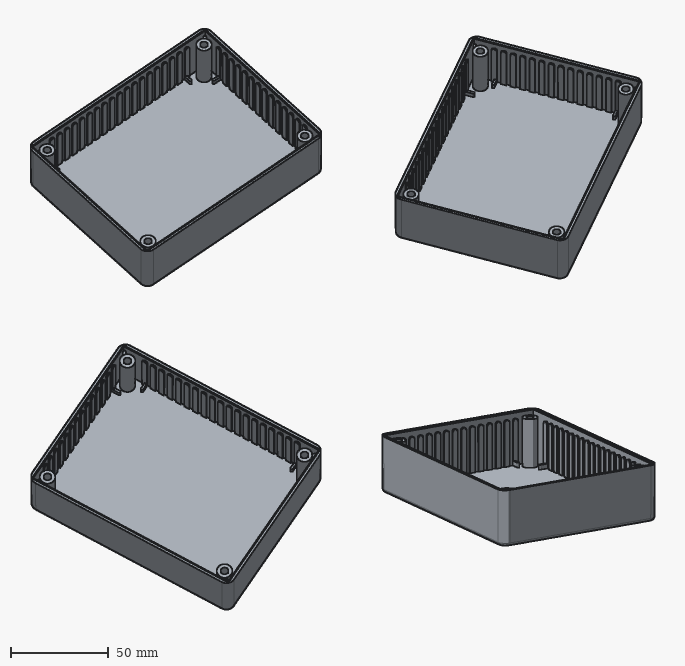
import cadquery as cq
import math

length_x = 93.6
length_y = 120.5
height = 30.0
corner_radius = 4.5
bottom_fillet = 1.9
draft_angle = 0.25

rim_wall = 1.6
rim_step_depth = 0.4
wall_thickness = 2.0
floor_thickness = 1.8

post_diameter = 8.0
post_hole_diameter = 4.0
post_inset = 7.4
post_top = height - 2.3
post_x = length_x / 2 - post_inset
post_y = length_y / 2 - post_inset
gusset_width = 1.7
gusset_top = post_top - 1.7

rib_width = 3.0
rib_top = height - 3.4
rib_face_inset = 2.9
rib_root_inset = 1.2
x_rib_count = 14
x_rib_pitch = 5.2
y_rib_count = 19
y_rib_pitch = 5.1

tab_width = 1.3
tab_height = 2.5
tab_end_inset = 7.1


def drafted_block(inset):
    """Full-height block, inset from the outer walls and narrowing downward by the draft angle."""
    return (
        cq.Workplane("XY", origin=(0, 0, height))
        .rect(length_x - 2 * inset, length_y - 2 * inset)
        .extrude(-height, taper=draft_angle)
    )


def arched_wall(width, start, end, top_z):
    """Upright wall with a half-round top, running along +Y from start to end."""
    radius = width / 2
    spring_z = top_z - radius
    return (
        cq.Workplane("XZ", origin=(0, start, 0))
        .moveTo(-radius, 0)
        .lineTo(-radius, spring_z)
        .threePointArc((0, top_z), (radius, spring_z))
        .lineTo(radius, 0)
        .close()
        .extrude(start - end)
    )


def floor_tab(outer_face):
    """Low tab running inward along Y from the wall, with a rounded free end."""
    radius = tab_width / 2
    root_y = outer_face - rib_root_inset
    arc_y = outer_face - tab_end_inset + radius
    return (
        cq.Workplane("XY")
        .moveTo(-radius, root_y)
        .lineTo(-radius, arc_y)
        .threePointArc((0, arc_y - radius), (radius, arc_y))
        .lineTo(radius, root_y)
        .close()
        .extrude(floor_thickness + tab_height)
    )


def wall_details(outer_face, count, pitch):
    """Ribs and two end tabs for a wall whose outer face is at y = outer_face."""
    end_rib = (count - 1) * pitch / 2
    rib = arched_wall(rib_width, outer_face - rib_face_inset, outer_face - rib_root_inset, rib_top)
    details = cq.Workplane("XY")
    for index in range(count):
        details = details.add(rib.translate((index * pitch - end_rib, 0, 0)))
    tab_offset = end_rib - (rib_width - tab_width) / 2
    for side in (-1, 1):
        details = details.add(floor_tab(outer_face).translate((side * tab_offset, 0, 0)))
    return details.combine()


def make_body():
    body = drafted_block(0)
    body = body.edges("not #Z").fillet(corner_radius)
    return body.faces("<Z").edges().fillet(bottom_fillet)


def make_cavity():
    floor_slab = cq.Workplane("XY").rect(length_x, length_y).extrude(floor_thickness)
    return drafted_block(wall_thickness).cut(floor_slab)


def make_rim_recess():
    """Shallow widening of the cavity mouth that thins the rim."""
    return (
        cq.Workplane("XY", origin=(0, 0, height - rim_step_depth))
        .rect(length_x - 2 * rim_wall, length_y - 2 * rim_wall)
        .extrude(rim_step_depth)
    )


def make_wall_details():
    end_wall = wall_details(length_y / 2, x_rib_count, x_rib_pitch)
    side_wall = wall_details(length_x / 2, y_rib_count, y_rib_pitch)
    details = cq.Workplane("XY")
    for half_turn in (0, 180):
        details = details.add(end_wall.rotate((0, 0, 0), (0, 0, 1), half_turn))
        details = details.add(side_wall.rotate((0, 0, 0), (0, 0, 1), half_turn + 90))
    return details.combine()


def make_posts():
    """Corner posts, each tied to its corner by a diagonal gusset and bored from the top."""
    gusset_start = (post_diameter + post_hole_diameter) / 4
    gusset_end = post_inset * math.sqrt(2)
    gusset = arched_wall(gusset_width, gusset_start, gusset_end, gusset_top)
    post = cq.Workplane("XY").circle(post_diameter / 2).extrude(post_top)
    hole = (
        cq.Workplane("XY", origin=(0, 0, floor_thickness))
        .circle(post_hole_diameter / 2)
        .extrude(post_top)
    )
    posts = cq.Workplane("XY")
    for side_x in (-1, 1):
        for side_y in (-1, 1):
            turn = math.degrees(math.atan2(-side_x, side_y))
            corner_post = post.union(gusset.rotate((0, 0, 0), (0, 0, 1), turn)).cut(hole)
            posts = posts.add(corner_post.translate((side_x * post_x, side_y * post_y, 0)))
    return posts.combine()


cavity = make_cavity()
interior = make_wall_details().union(make_posts()).intersect(cavity)
result = make_body().cut(cavity).cut(make_rim_recess()).union(interior)